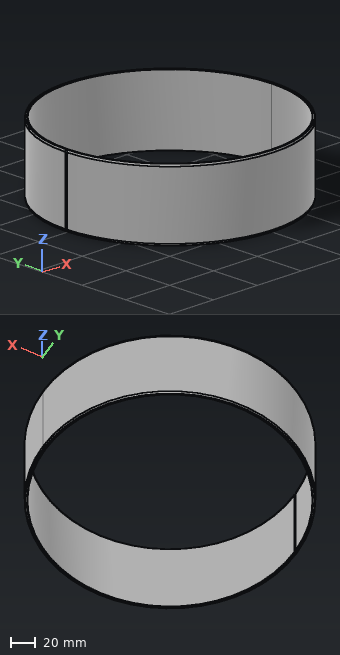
import cadquery as cq

outer_diameter = 235.0
height = 70.0
wall = 2.5
outer_bevel_height = 2.0
outer_bevel_depth = 0.7
inner_chamfer = 0.5
slit_width = 2.0

outer_radius = outer_diameter / 2
inner_radius = outer_radius - wall
outer_rim_radius = outer_radius - outer_bevel_depth
inner_rim_radius = inner_radius + inner_chamfer


def make_band():
    """Thin ring: steep bevels on the outer edges, small chamfers on the inner edges."""
    profile = [
        (inner_radius, inner_chamfer),
        (inner_rim_radius, 0),
        (outer_rim_radius, 0),
        (outer_radius, outer_bevel_height),
        (outer_radius, height - outer_bevel_height),
        (outer_rim_radius, height),
        (inner_rim_radius, height),
        (inner_radius, height - inner_chamfer),
    ]
    return cq.Workplane("XZ").polyline(profile).close().revolve(360, (0, 0), (0, 1))


def make_slit():
    """Full-height cut through the -X wall, with one face on the plane Y = 0."""
    cutter_length = 4 * wall
    cutter = cq.Workplane("XY").box(cutter_length, slit_width, height, centered=(True, False, False))
    return cutter.translate((-outer_radius, 0, 0))


result = make_band().cut(make_slit())